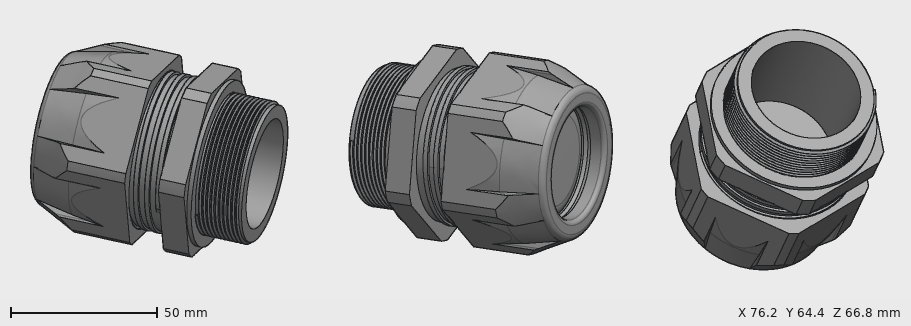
import cadquery as cq
import math


ACROSS_FLATS = 60.0
FIRST_FLAT_ANGLE = 10.0
FLAT_COUNT = 6
FLAT_STEP = 360.0 / FLAT_COUNT
CAP_CORNER_RADIUS = 33.65
FLANGE_CORNER_RADIUS = 33.35

CAP_ROUND_END = 1.8
CAGE_START = 5.7
SEAL_START = 7.15
SEAL_THROAT = 8.45
BODY_START = 15.2
CORNER_CONE_END = 15.7
CAP_END = 36.6
SOCKET_END = CAP_END
FLANGE_START = 48.8
FLANGE_END = 58.1
WASHER_END = 59.7
BODY_END = 76.15

NOSE_RADIUS = 27.1
NOSE_ROUND = 2.75
NOSE_FLAT_RADIUS = 24.5
ENTRY_DIAMETER = 39.5
ENTRY_ROUND = 1.6
CAP_THREAD_BORE = 55.7

POCKET_ANGLE = 36.0
POCKET_BEND_X = 15.4
POCKET_BEND_RADIUS = 29.85
POCKET_TIP_X = 26.95
POCKET_OVERRUN = 1.5
POCKET_RIM_WIDTH = 0.15
POCKET_RIM_DEPTH = 0.7

NECK_DIAMETER = 53.6
SOCKET_DIAMETER = 44.5
BORE_DIAMETER = 38.7
THREAD_CORE_DIAMETER = 48.1

NECK_THREAD_DIAMETER = 55.3
NECK_THREAD_LENGTH = 12.0
NECK_THREAD_TURNS = 3
NECK_THREAD_END_X = 47.1
NECK_THREAD_END_ANGLE = 190.0
NECK_THREAD_ROOT_WIDTH = 2.0
NECK_THREAD_CREST_WIDTH = 1.7
NECK_THREAD_RAMP_TOP_Z = -2.3
NECK_THREAD_RAMP_CLEARANCE = 0.75

END_THREAD_DIAMETER = 50.0
END_THREAD_LENGTH = 15.8
END_THREAD_TURNS = 10.5
END_THREAD_END_X = 75.3
END_THREAD_END_ANGLE = 10.0
END_THREAD_ROOT_WIDTH = 1.2
END_THREAD_CREST_WIDTH = 0.15

THREAD_EMBED = 0.15
MINUS_Z_ANGLE = 270.0

WASHER_DIAMETER = 58.5
CAGE_BORE = 41.1

PLUG_DIAMETER = 39.9
PLUG_APEX_X = 7.9
PLUG_FACE_X = 8.1
PLUG_FACE_RADIUS = 16.1
PLUG_RIM_ROUND = 7.1


def revolved(points, angle=360.0):
    """Turn a closed outline of (x, radius) points about the X axis, starting at +Y."""
    return cq.Workplane("XY").polyline(points).close().revolve(angle, (0, 0, 0), (1, 0, 0))


def tube(start, end, outer_diameter, inner_diameter):
    outer = outer_diameter / 2
    inner = inner_diameter / 2
    return revolved([(start, inner), (start, outer), (end, outer), (end, inner)])


def cylinder(start, end, diameter):
    return cq.Workplane("YZ", origin=(start, 0, 0)).circle(diameter / 2).extrude(end - start)


def hexagon(start, end):
    across_corners = ACROSS_FLATS / math.cos(math.radians(FLAT_STEP / 2))
    outline = cq.Workplane("YZ", origin=(start, 0, 0)).polygon(FLAT_COUNT, across_corners)
    prism = outline.extrude(end - start)
    return prism.rotate((0, 0, 0), (1, 0, 0), FIRST_FLAT_ANGLE + FLAT_STEP / 2)


def thread_ridge(core_diameter, crest_diameter, length, turns, end_x, end_angle, root_width, crest_width):
    """One right-handed helical ridge that ends at end_x and end_angle."""
    core = core_diameter / 2
    crest = crest_diameter / 2
    pitch = length / turns
    path = cq.Workplane(obj=cq.Wire.makeHelix(pitch, length, core))
    root = core - THREAD_EMBED
    profile = [
        (root, -root_width / 2),
        (crest, -crest_width / 2),
        (crest, crest_width / 2),
        (root, root_width / 2),
    ]
    ridge = cq.Workplane("XZ").polyline(profile).close().sweep(path, isFrenet=True)
    ridge = ridge.rotate((0, 0, 0), (0, 1, 0), 90)
    start_angle = end_angle - 360 * turns
    ridge = ridge.rotate((0, 0, 0), (1, 0, 0), start_angle - MINUS_Z_ANGLE)
    return ridge.translate((end_x - length, 0, 0))


def neck_thread_ramp():
    """Wedge that slopes the last stretch of the neck thread down to the neck."""
    crest = NECK_THREAD_DIAMETER / 2
    neck = NECK_DIAMETER / 2
    end = math.radians(NECK_THREAD_END_ANGLE)
    top = (-math.sqrt(crest**2 - NECK_THREAD_RAMP_TOP_Z**2), NECK_THREAD_RAMP_TOP_Z)
    bottom = (neck * math.cos(end), neck * math.sin(end))
    clear_y = -crest - NECK_THREAD_RAMP_CLEARANCE
    clear_z = bottom[1] - NECK_THREAD_RAMP_CLEARANCE
    start = NECK_THREAD_END_X - NECK_THREAD_ROOT_WIDTH
    outline = cq.Workplane("YZ", origin=(start, 0, 0)).polyline(
        [top, bottom, (bottom[0], clear_z), (clear_y, clear_z), (clear_y, top[1])]
    )
    return outline.close().extrude(2 * NECK_THREAD_ROOT_WIDTH)


def cap_envelope():
    """Turned outline of the cap: rounded nose, corner cone and corner cylinder."""
    round_angle = math.asin((NOSE_RADIUS - NOSE_FLAT_RADIUS) / NOSE_ROUND) / 2
    round_middle = (
        NOSE_ROUND * (1 - math.cos(round_angle)),
        NOSE_FLAT_RADIUS + NOSE_ROUND * math.sin(round_angle),
    )
    outline = (
        cq.Workplane("XY")
        .moveTo(0, 0)
        .lineTo(0, NOSE_FLAT_RADIUS)
        .threePointArc(round_middle, (CAP_ROUND_END, NOSE_RADIUS))
        .lineTo(CORNER_CONE_END, CAP_CORNER_RADIUS)
        .lineTo(CAP_END, CAP_CORNER_RADIUS)
        .lineTo(CAP_END, 0)
        .close()
    )
    return outline.revolve(360, (0, 0, 0), (1, 0, 0))


def pocket_mouth():
    """Wedge with radial sides that flare at the flat, which bevels the pocket rims."""
    apothem = ACROSS_FLATS / 2
    wall_slope = math.tan(math.radians(POCKET_ANGLE / 2))
    flare_height = apothem - POCKET_RIM_DEPTH
    flare_half = flare_height * wall_slope
    flare_slope = (apothem * wall_slope + POCKET_RIM_WIDTH - flare_half) / POCKET_RIM_DEPTH
    top = CAP_CORNER_RADIUS + POCKET_OVERRUN
    top_half = flare_half + flare_slope * (top - flare_height)
    outline = [
        (0, 0),
        (flare_height, -flare_half),
        (top, -top_half),
        (top, top_half),
        (flare_height, flare_half),
    ]
    return cq.Workplane("YZ").polyline(outline).close().extrude(CAP_END)


def grip_pocket(index):
    """Recess with a two-cone floor, centred on one flat of the cap."""
    tip_radius = ACROSS_FLATS / 2 / math.cos(math.radians(POCKET_ANGLE / 2))
    floor_slope = (tip_radius - POCKET_BEND_RADIUS) / (POCKET_TIP_X - POCKET_BEND_X)
    outside = CAP_CORNER_RADIUS + POCKET_OVERRUN
    far_x = POCKET_TIP_X + POCKET_OVERRUN
    far_radius = tip_radius + floor_slope * POCKET_OVERRUN
    space_over_floor = revolved(
        [
            (CAP_ROUND_END, NOSE_RADIUS),
            (POCKET_BEND_X, POCKET_BEND_RADIUS),
            (far_x, far_radius),
            (far_x, outside),
            (CAP_ROUND_END, outside),
        ],
        FLAT_STEP,
    )
    space_over_floor = space_over_floor.rotate((0, 0, 0), (1, 0, 0), -FLAT_STEP / 2)
    pocket = space_over_floor.intersect(pocket_mouth())
    return pocket.rotate((0, 0, 0), (1, 0, 0), FIRST_FLAT_ANGLE + FLAT_STEP * index)


def make_cap():
    cap = cap_envelope().intersect(hexagon(0, CAP_END))
    for index in range(FLAT_COUNT):
        cap = cap.cut(grip_pocket(index))
    cap = cap.cut(cylinder(0, CAGE_START, ENTRY_DIAMETER))
    smallest_circle = cq.selectors.RadiusNthSelector(0)
    cap = cap.faces("<X").edges(smallest_circle).fillet(ENTRY_ROUND)
    cap = cap.cut(cylinder(CAGE_START, BODY_START, SOCKET_DIAMETER))
    return cap.cut(cylinder(BODY_START, CAP_END, CAP_THREAD_BORE))


def make_body():
    body = cylinder(BODY_START, FLANGE_END, NECK_DIAMETER)
    flange = hexagon(FLANGE_START, FLANGE_END)
    flange = flange.intersect(cylinder(FLANGE_START, FLANGE_END, 2 * FLANGE_CORNER_RADIUS))
    body = body.union(flange)
    body = body.union(cylinder(FLANGE_END, BODY_END, THREAD_CORE_DIAMETER))
    neck_thread = thread_ridge(
        NECK_DIAMETER,
        NECK_THREAD_DIAMETER,
        NECK_THREAD_LENGTH,
        NECK_THREAD_TURNS,
        NECK_THREAD_END_X,
        NECK_THREAD_END_ANGLE,
        NECK_THREAD_ROOT_WIDTH,
        NECK_THREAD_CREST_WIDTH,
    )
    end_thread = thread_ridge(
        THREAD_CORE_DIAMETER,
        END_THREAD_DIAMETER,
        END_THREAD_LENGTH,
        END_THREAD_TURNS,
        END_THREAD_END_X,
        END_THREAD_END_ANGLE,
        END_THREAD_ROOT_WIDTH,
        END_THREAD_CREST_WIDTH,
    )
    neck_thread = neck_thread.cut(neck_thread_ramp())
    body = body.union(neck_thread).union(end_thread)
    body = body.cut(cylinder(BODY_START, SOCKET_END, SOCKET_DIAMETER))
    return body.cut(cylinder(SOCKET_END, BODY_END, BORE_DIAMETER))


def make_washer():
    return tube(FLANGE_END, WASHER_END, WASHER_DIAMETER, END_THREAD_DIAMETER)


def make_cage():
    """Pressure ring between the cap shoulder and the seal."""
    return tube(CAGE_START, SEAL_START, SOCKET_DIAMETER, CAGE_BORE)


def make_seal():
    """Sealing sleeve with a conical mouth."""
    outer = SOCKET_DIAMETER / 2
    throat = PLUG_DIAMETER / 2
    return revolved(
        [
            (SEAL_START, CAGE_BORE / 2),
            (SEAL_START, outer),
            (SOCKET_END, outer),
            (SOCKET_END, throat),
            (SEAL_THROAT, throat),
        ]
    )


def make_plug():
    radius = PLUG_DIAMETER / 2
    rim_angle = math.asin((radius - PLUG_FACE_RADIUS) / PLUG_RIM_ROUND)
    rim_x = PLUG_FACE_X + PLUG_RIM_ROUND * (1 - math.cos(rim_angle))
    rim_middle = (
        PLUG_FACE_X + PLUG_RIM_ROUND * (1 - math.cos(rim_angle / 2)),
        PLUG_FACE_RADIUS + PLUG_RIM_ROUND * math.sin(rim_angle / 2),
    )
    outline = (
        cq.Workplane("XY")
        .moveTo(PLUG_APEX_X, 0)
        .lineTo(PLUG_FACE_X, PLUG_FACE_RADIUS)
        .threePointArc(rim_middle, (rim_x, radius))
        .lineTo(SOCKET_END, radius)
        .lineTo(SOCKET_END, 0)
        .close()
    )
    return outline.revolve(360, (0, 0, 0), (1, 0, 0))


cap = make_cap()
body = make_body()
washer = make_washer()
cage = make_cage()
seal = make_seal()
plug = make_plug()

result = cq.Compound.makeCompound(
    [cap.val(), body.val(), washer.val(), cage.val(), seal.val(), plug.val()]
)